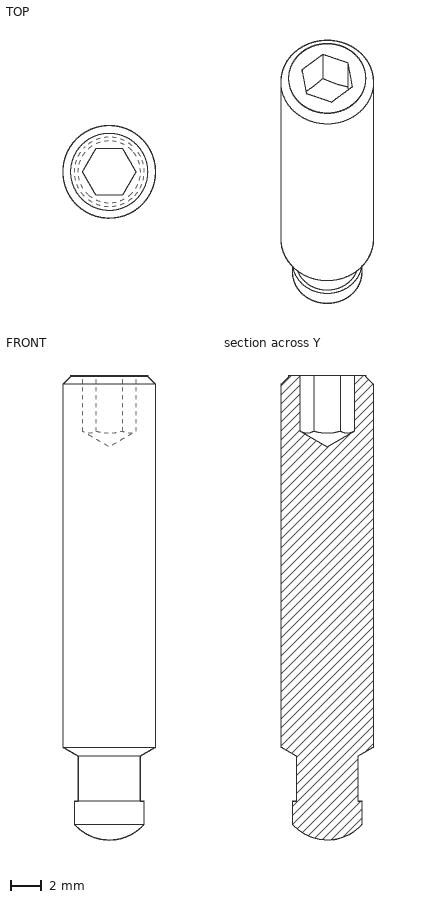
import cadquery as cq
import math

total_length = 30
body_radius = 3

top_chamfer = 0.5
top_lip_height = 0.05
body_bottom_z = 6
shoulder_angle = 30

neck_radius = 2.0
tip_radius = 2.25
tip_top_z = 2.52
dome_radius = 3

socket_flats = 3
socket_depth = 3.6
drill_point_angle = 120

chamfer_top_z = total_length - top_lip_height
shoulder_height = (body_radius - neck_radius) * math.tan(math.radians(shoulder_angle))
neck_top_z = body_bottom_z - shoulder_height
dome_height = dome_radius - math.sqrt(dome_radius**2 - tip_radius**2)

dome_half_angle = math.asin(tip_radius / dome_radius) / 2
dome_mid_radius = dome_radius * math.sin(dome_half_angle)
dome_mid_z = dome_radius * (1 - math.cos(dome_half_angle))


def turned_body():
    """Revolve the half profile of body, neck and tip about Z."""
    return (
        cq.Workplane("XZ")
        .threePointArc((dome_mid_radius, dome_mid_z), (tip_radius, dome_height))
        .lineTo(tip_radius, tip_top_z)
        .lineTo(neck_radius, tip_top_z)
        .lineTo(neck_radius, neck_top_z)
        .lineTo(body_radius, body_bottom_z)
        .lineTo(body_radius, chamfer_top_z - top_chamfer)
        .lineTo(body_radius - top_chamfer, chamfer_top_z)
        .lineTo(body_radius - top_chamfer, total_length)
        .lineTo(0, total_length)
        .close()
        .revolve(360, (0, 0), (0, 1))
    )


def hex_socket():
    """Make the hexagonal socket volume, ending in a conical drill point."""
    corner_radius = socket_flats / math.sqrt(3)
    cone_height = corner_radius / math.tan(math.radians(drill_point_angle / 2))
    floor_z = total_length - socket_depth
    tip_z = floor_z - cone_height
    hexagon = (
        cq.Workplane("XY")
        .workplane(offset=tip_z)
        .polygon(6, 2 * corner_radius)
        .extrude(total_length - tip_z)
    )
    drilled_hole = (
        cq.Workplane("XZ")
        .moveTo(0, tip_z)
        .lineTo(corner_radius, floor_z)
        .lineTo(corner_radius, total_length)
        .lineTo(0, total_length)
        .close()
        .revolve(360, (0, 0), (0, 1))
    )
    return hexagon.intersect(drilled_hole)


result = turned_body().cut(hex_socket())